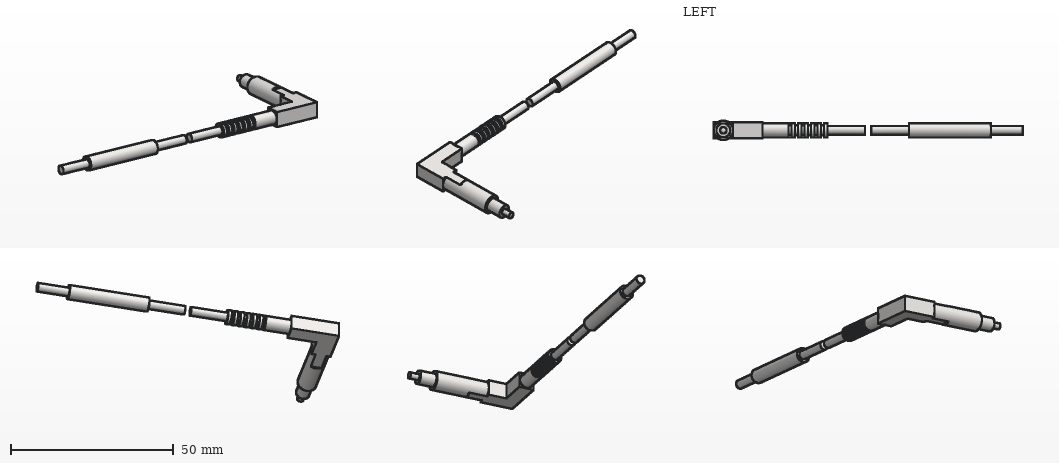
import cadquery as cq


plug_diameter = 6.0
plug_start = 8.5
flat_end = 14.4
plug_end = 25.9
collar_diameter = 4.3
collar_end = 31.2
pin_diameter = 2.0
pin_end = 34.5
pin_dome_height = 0.4

housing_thickness = 4.9
housing_end = 12.1

relief_diameter = 4.5
groove_floor_diameter = 3.1
groove_count = 6
groove_width = 0.9
groove_pitch = 2.0
relief_groove_start = 20.0
relief_end = relief_groove_start + groove_count * groove_pitch
bridge_width = 0.8

cable_diameter = 2.8
cable_break_start = 43.5
cable_break_end = 45.4
sleeve_diameter = 4.5
sleeve_start = 57.0
sleeve_end = 82.2
overall_length = 95.0
cable_end = overall_length - plug_diameter / 2


def rod_along_x(diameter, start, end):
    """Cylinder on the plug axis between two distances towards -X."""
    return cq.Workplane("YZ", origin=(-end, 0, 0)).circle(diameter / 2).extrude(end - start)


def rod_along_y(diameter, start, end):
    """Cylinder on the cable axis between two distances towards -Y."""
    return cq.Workplane("XZ", origin=(0, -start, 0)).circle(diameter / 2).extrude(end - start)


def make_housing():
    """L-shaped block whose short arm meets the plug and long arm meets the relief."""
    half_plug = plug_diameter / 2
    half_arm = housing_thickness / 2
    outline = [
        (-plug_start, half_plug),
        (half_arm, half_plug),
        (half_arm, -housing_end),
        (-half_arm, -housing_end),
        (-half_arm, -half_plug),
        (-plug_start, -half_plug),
    ]
    return cq.Workplane("XY").polyline(outline).close().extrude(half_arm, both=True)


def make_pin():
    """Contact pin with a shallow domed tip, revolved about the plug axis."""
    radius = pin_diameter / 2
    dome_start = pin_end - pin_dome_height
    dome_radius = (radius**2 + pin_dome_height**2) / (2 * pin_dome_height)
    return (
        cq.Workplane("XY")
        .moveTo(-collar_end, 0)
        .lineTo(-collar_end, radius)
        .lineTo(-dome_start, radius)
        .radiusArc((-pin_end, 0), -dome_radius)
        .close()
        .revolve(360, (0, 0, 0), (1, 0, 0))
    )


def make_plug():
    """Stepped plug, with flats level with the housing faces at its inner end."""
    flat_zone = cq.Workplane("XY").box(
        flat_end - plug_start, plug_diameter, housing_thickness
    ).translate((-(plug_start + flat_end) / 2, 0, 0))
    flatted = rod_along_x(plug_diameter, plug_start, flat_end).intersect(flat_zone)
    barrel = rod_along_x(plug_diameter, flat_end, plug_end)
    collar = rod_along_x(collar_diameter, plug_end, collar_end)
    return flatted.union(barrel).union(collar).union(make_pin())


def make_groove(start, bridged):
    """Ring to cut; a bridged groove leaves a web standing at +Z and at -Z."""
    end = start + groove_width
    ring = rod_along_y(relief_diameter, start, end).cut(rod_along_y(groove_floor_diameter, start, end))
    if bridged:
        web = cq.Workplane("XY").box(bridge_width, groove_width, relief_diameter)
        ring = ring.cut(web.translate((0, -(start + end) / 2, 0)))
    return ring


def make_strain_relief():
    """Round sleeve with grooves, every second one bridged."""
    relief = rod_along_y(relief_diameter, housing_end, relief_end)
    for index in range(groove_count):
        start = relief_groove_start + index * groove_pitch
        relief = relief.cut(make_groove(start, bridged=index % 2 == 0))
    return relief


def make_connector():
    """Angled connector with its strain relief and short cable stub."""
    cable_stub = rod_along_y(cable_diameter, relief_end, cable_break_start)
    return make_housing().union(make_plug()).union(make_strain_relief()).union(cable_stub)


def make_cable_tail():
    """Far piece of the cable, carrying a thicker sleeve."""
    cable = rod_along_y(cable_diameter, cable_break_end, cable_end)
    return cable.union(rod_along_y(sleeve_diameter, sleeve_start, sleeve_end))


connector = make_connector()
cable_tail = make_cable_tail()

result = cq.Compound.makeCompound([connector.val(), cable_tail.val()])